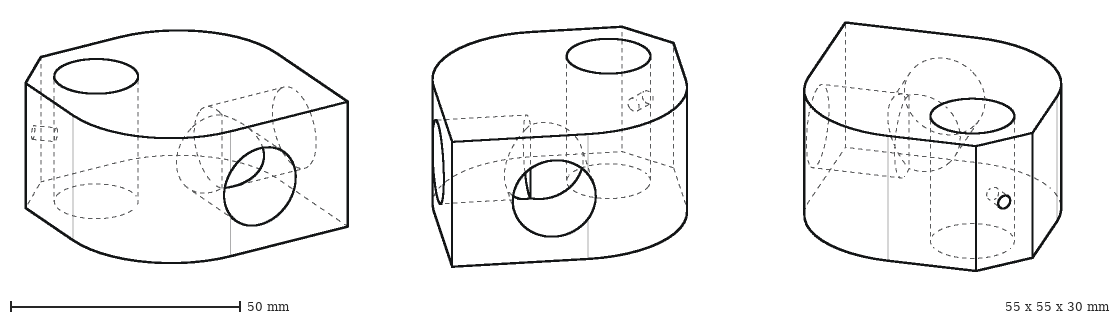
import cadquery as cq
import math

side = 55.0
height = 30.0
corner_radius = 25.0
corner_cut = 10.0
bore_diameter = 18.3
bore_offset = 15.0
screw_diameter = 3.0
side_hole_offset = 5.0
side_hole_depth = 20.0

half_side = side / 2
bore_center = bore_offset - half_side
mid_height = height / 2


def make_body():
    """Block with two opposite round corners, one cut corner and one sharp corner."""
    arc_start = half_side - corner_radius
    arc_mid = arc_start + corner_radius * math.sqrt(0.5)
    cut_end = corner_cut - half_side
    return (
        cq.Workplane("XY")
        .moveTo(cut_end, -half_side)
        .lineTo(arc_start, -half_side)
        .threePointArc((arc_mid, -arc_mid), (half_side, -arc_start))
        .lineTo(half_side, half_side)
        .lineTo(-arc_start, half_side)
        .threePointArc((-arc_mid, arc_mid), (-half_side, arc_start))
        .lineTo(-half_side, cut_end)
        .close()
        .extrude(height)
    )


def make_bore():
    """Vertical bore through the full height, near the cut corner."""
    return (
        cq.Workplane("XY")
        .center(bore_center, bore_center)
        .circle(bore_diameter / 2)
        .extrude(height)
    )


def make_cylinder(diameter, length, start, direction):
    """Cylinder running from a start point along a direction."""
    return cq.Workplane(
        cq.Solid.makeCylinder(diameter / 2, length, cq.Vector(*start), cq.Vector(*direction))
    )


def make_screw_hole():
    """Horizontal hole from the middle of the cut corner's face to the bore axis."""
    face_center = corner_cut / 2 - half_side
    length = (bore_center - face_center) * math.sqrt(2)
    return make_cylinder(screw_diameter, length, (face_center, face_center, mid_height), (1, 1, 0))


def make_side_holes():
    """Blind holes, as wide as the bore, entering the +X and +Y sides at mid height."""
    x_start = (half_side, side_hole_offset, mid_height)
    y_start = (side_hole_offset, half_side, mid_height)
    x_hole = make_cylinder(bore_diameter, side_hole_depth, x_start, (-1, 0, 0))
    y_hole = make_cylinder(bore_diameter, side_hole_depth, y_start, (0, -1, 0))
    return x_hole.union(y_hole)


result = make_body().cut(make_bore()).cut(make_screw_hole()).cut(make_side_holes())